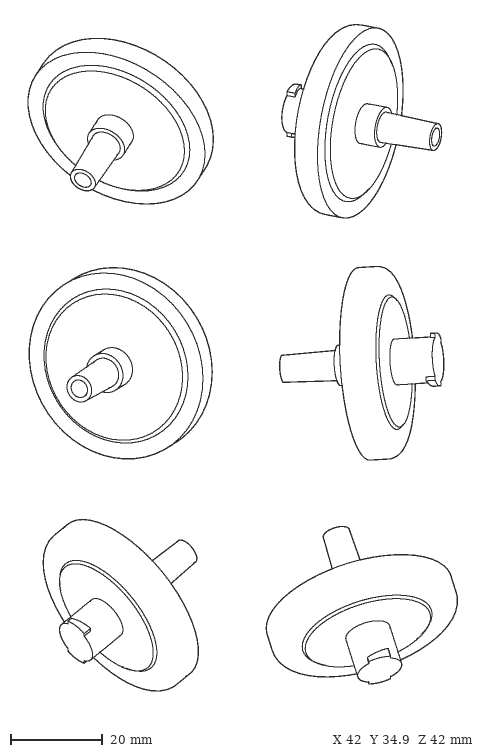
import cadquery as cq
import math


RIM_RADIUS = 21.0
RIM_THICKNESS = 6.45
RIM_FILLET = 2.35

FRONT_PLATE_RADIUS = 17.4
FRONT_PLATE_HEIGHT = 0.9
FRONT_PLATE_CHAMFER = 0.9

BACK_PLATE_RADIUS = 14.65
BACK_PLATE_HEIGHT = 0.6
BACK_PLATE_CHAMFER = 0.5

COLLAR_RADIUS = 4.4
COLLAR_LENGTH = 4.75
TIP_BASE_RADIUS = 3.35
TIP_END_RADIUS = 3.0
TIP_LENGTH = 12.65
BORE_RADIUS = 1.97

HUB_RADIUS = 5.0
HUB_LENGTH = 9.55
LUG_RADIUS = 5.8
LUG_WIDTH = 4.95
LUG_DEEP_SIDE = 2.0
LUG_SHALLOW_SIDE = 1.1
LUG_COUNT = 2

FRONT_PLATE_FACE = -FRONT_PLATE_HEIGHT
COLLAR_END = FRONT_PLATE_FACE - COLLAR_LENGTH
TIP_END = COLLAR_END - TIP_LENGTH
BACK_PLATE_FACE = RIM_THICKNESS + BACK_PLATE_HEIGHT
HUB_END = BACK_PLATE_FACE + HUB_LENGTH


def turn(profile):
    """Revolve a closed (radius, Y) profile about the Y axis."""
    return profile.close().revolve(360, (0, 0, 0), (0, 1, 0))


def make_outlet():
    """Front plate, collar and tapered tip, bored through."""
    profile = (
        cq.Workplane("XY")
        .moveTo(BORE_RADIUS, 0)
        .lineTo(FRONT_PLATE_RADIUS, 0)
        .lineTo(FRONT_PLATE_RADIUS - FRONT_PLATE_CHAMFER, FRONT_PLATE_FACE)
        .lineTo(COLLAR_RADIUS, FRONT_PLATE_FACE)
        .lineTo(COLLAR_RADIUS, COLLAR_END)
        .lineTo(TIP_BASE_RADIUS, COLLAR_END)
        .lineTo(TIP_END_RADIUS, TIP_END)
        .lineTo(BORE_RADIUS, TIP_END)
    )
    return turn(profile)


def make_lug():
    """Upper lug: a slice of a cylinder whose underside slopes across its width."""
    half_width = LUG_WIDTH / 2
    block = (
        cq.Workplane("XY")
        .moveTo(-half_width, HUB_END)
        .lineTo(-half_width, HUB_END - LUG_DEEP_SIDE)
        .lineTo(half_width, HUB_END - LUG_SHALLOW_SIDE)
        .lineTo(half_width, HUB_END)
        .close()
        .extrude(LUG_RADIUS)
    )
    envelope = (
        cq.Workplane("XZ", origin=(0, HUB_END, 0))
        .circle(LUG_RADIUS)
        .extrude(LUG_DEEP_SIDE)
    )
    return block.intersect(envelope)


def make_inlet():
    """Rounded rim, back plate and hub with its lugs."""
    arc_offset = RIM_FILLET * (1 - math.sqrt(0.5))
    profile = (
        cq.Workplane("XY")
        .moveTo(0, 0)
        .lineTo(RIM_RADIUS, 0)
        .lineTo(RIM_RADIUS, RIM_THICKNESS - RIM_FILLET)
        .threePointArc(
            (RIM_RADIUS - arc_offset, RIM_THICKNESS - arc_offset),
            (RIM_RADIUS - RIM_FILLET, RIM_THICKNESS),
        )
        .lineTo(BACK_PLATE_RADIUS, RIM_THICKNESS)
        .lineTo(BACK_PLATE_RADIUS - BACK_PLATE_CHAMFER, BACK_PLATE_FACE)
        .lineTo(HUB_RADIUS, BACK_PLATE_FACE)
        .lineTo(HUB_RADIUS, HUB_END)
        .lineTo(0, HUB_END)
    )
    body = turn(profile)
    for i in range(LUG_COUNT):
        lug = make_lug().rotate((0, 0, 0), (0, 1, 0), i * 360 / LUG_COUNT)
        body = body.union(lug)
    return body


outlet = make_outlet()
inlet = make_inlet()
result = cq.Compound.makeCompound([inlet.val(), outlet.val()])